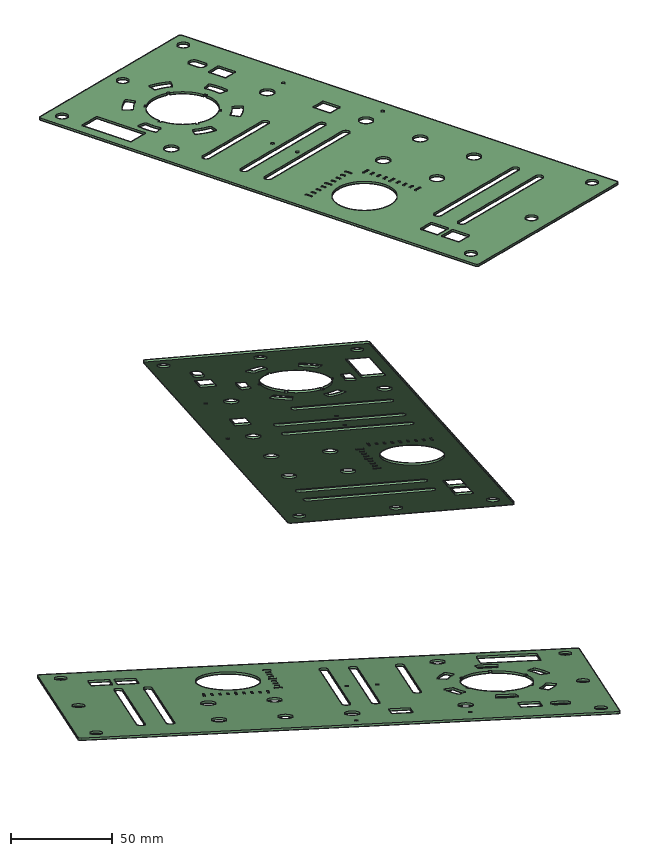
import cadquery as cq
import math

PLATE_LENGTH = 270.0
PLATE_WIDTH = 115.0
THICKNESS = 1.2
PLATE_CORNER_RADIUS = 1.5

MOUNT_DIAMETER = 6.3
MOUNT_COLUMNS = (8.27, 259.73)
MOUNT_ROW_PITCH = 49.25

SHAFT_DIAMETER = 7.5
SHAFT_GRID_COLUMNS = (163.25, 196.3)
SHAFT_GRID_ROWS = (64.5, 94.5)
INDICATOR_DIAMETER = 1.8
INDICATOR_CENTERS = ((72.7, 102.9), (130.3, 107.5), (108.8, 46.4), (124.1, 46.4))

SLOT_WIDTH = 4.3
LONG_SLOT_LENGTH = 67.1
SHORT_SLOT_LENGTH = 52.2
SLOT_PITCH = 14.7
RIGHT_SLOT_X = 220.75
RIGHT_SLOT_Y = 64.4
MIDDLE_SLOT_X = 115.25
MIDDLE_SLOT_Y = 46.5
SHORT_SLOT_X = 91.9
SHORT_SLOT_Y = 38.8

DIAL_CENTER = (50.1, 51.0)
DIAL_DIAMETER = 36.0
FULL_TURN = 360.0
SECTOR_COUNT = 6
SECTOR_INNER_RADIUS = 24.25
SECTOR_OUTER_RADIUS = 29.75
SECTOR_HALF_ANGLE = 11.5
SECTOR_CORNER_RADIUS = 0.75
NOTCH_WIDTH = 1.5
NOTCH_TIP_RADIUS = 19.0
DIAL_SHAFT_X = 72.6
DIAL_SHAFT_OFFSET = 39.0

JOYSTICK_CENTER = (179.8, 27.4)
JOYSTICK_DIAMETER = 32.0
TICK_COUNT = 9
TICK_PITCH = 4.0
TICK_WIDTH = 0.9
MAJOR_TICK_LENGTH = 3.9
MINOR_TICK_LENGTH = 2.4
MAJOR_TICK_STEP = 4
TICK_OFFSET = 22.2

WINDOW_CORNER_RADIUS = 0.5
BUTTON_WINDOW_LENGTH = 10.8
UPPER_BUTTON_WIDTH = 8.4
UPPER_BUTTON_XS = (41.3, 105.7)
UPPER_ROW_Y = 94.5
LOWER_BUTTON_WIDTH = 9.2
LOWER_BUTTON_XS = (228.9, 242.0)
LOWER_BUTTON_Y = 19.3
DISPLAY_SIZE = (30.2, 12.2)
DISPLAY_CENTER = (37.2, 12.0)
SOCKET_LENGTH = 9.8
SOCKET_WIDTH = 5.8
SOCKET_CORNER_RADIUS = 2.5
SOCKET_X = 26.2


def plate():
    """Flat plate with rounded corners."""
    blank = cq.Workplane("XY").box(PLATE_LENGTH, PLATE_WIDTH, THICKNESS, centered=False)
    return blank.edges("|Z").fillet(PLATE_CORNER_RADIUS)


def round_cutters(centers, diameter):
    return cq.Workplane("XY").pushPoints(centers).circle(diameter / 2).extrude(THICKNESS)


def window_cutters(centers, length, width, corner_radius=0.0):
    """Rectangular cutters along X and Y, with rounded corners if a radius is given."""
    cutters = cq.Workplane("XY").pushPoints(centers).rect(length, width).extrude(THICKNESS)
    if corner_radius > 0:
        cutters = cutters.edges("|Z").fillet(corner_radius)
    return cutters


def slot_cutters(centers, length):
    """Round-ended slots running along Y."""
    return cq.Workplane("XY").pushPoints(centers).slot2D(length, SLOT_WIDTH, angle=90).extrude(THICKNESS)


def dial_point(radius, angle):
    """Point at a radius and an angle in degrees around the dial centre."""
    turn = math.radians(angle)
    return (DIAL_CENTER[0] + radius * math.cos(turn), DIAL_CENTER[1] + radius * math.sin(turn))


def sector_cutter(angle):
    """Annular sector window centred on the given angle."""
    start = angle - SECTOR_HALF_ANGLE
    end = angle + SECTOR_HALF_ANGLE
    return (
        cq.Workplane("XY")
        .moveTo(*dial_point(SECTOR_INNER_RADIUS, start))
        .lineTo(*dial_point(SECTOR_OUTER_RADIUS, start))
        .threePointArc(dial_point(SECTOR_OUTER_RADIUS, angle), dial_point(SECTOR_OUTER_RADIUS, end))
        .lineTo(*dial_point(SECTOR_INNER_RADIUS, end))
        .threePointArc(dial_point(SECTOR_INNER_RADIUS, angle), dial_point(SECTOR_INNER_RADIUS, start))
        .close()
        .extrude(THICKNESS)
        .edges("|Z")
        .fillet(SECTOR_CORNER_RADIUS)
    )


def notch_cutter(angle):
    """Narrow radial bar reaching from the dial centre to just beyond the opening's edge."""
    return (
        cq.Workplane("XY")
        .rect(NOTCH_TIP_RADIUS, NOTCH_WIDTH)
        .extrude(THICKNESS)
        .translate((NOTCH_TIP_RADIUS / 2, 0, 0))
        .rotate((0, 0, 0), (0, 0, 1), angle)
        .translate((*DIAL_CENTER, 0))
    )


def cut_mounting_holes(body):
    rows = [PLATE_WIDTH / 2 + step * MOUNT_ROW_PITCH for step in (-1, 0, 1)]
    centers = [(x, y) for x in MOUNT_COLUMNS for y in rows]
    return body.cut(round_cutters(centers, MOUNT_DIAMETER))


def cut_shaft_and_indicator_holes(body):
    centers = [(x, y) for x in SHAFT_GRID_COLUMNS for y in SHAFT_GRID_ROWS]
    centers.append((MIDDLE_SLOT_X + SLOT_PITCH, UPPER_ROW_Y))
    centers += [(DIAL_SHAFT_X, DIAL_CENTER[1] + side * DIAL_SHAFT_OFFSET) for side in (-1, 1)]
    body = body.cut(round_cutters(centers, SHAFT_DIAMETER))
    return body.cut(round_cutters(INDICATOR_CENTERS, INDICATOR_DIAMETER))


def cut_slider_slots(body):
    long_slots = []
    for first_x, y in ((MIDDLE_SLOT_X, MIDDLE_SLOT_Y), (RIGHT_SLOT_X, RIGHT_SLOT_Y)):
        long_slots += [(first_x, y), (first_x + SLOT_PITCH, y)]
    body = body.cut(slot_cutters(long_slots, LONG_SLOT_LENGTH))
    return body.cut(slot_cutters([(SHORT_SLOT_X, SHORT_SLOT_Y)], SHORT_SLOT_LENGTH))


def cut_dial(body):
    body = body.cut(round_cutters([DIAL_CENTER], DIAL_DIAMETER))
    sector_pitch = FULL_TURN / SECTOR_COUNT
    for index in range(SECTOR_COUNT):
        angle = (index + 0.5) * sector_pitch
        body = body.cut(sector_cutter(angle)).cut(notch_cutter(angle))
    return body


def cut_joystick(body):
    center_x, center_y = JOYSTICK_CENTER
    body = body.cut(round_cutters([JOYSTICK_CENTER], JOYSTICK_DIAMETER))
    for index in range(TICK_COUNT):
        along = (index - (TICK_COUNT - 1) / 2) * TICK_PITCH
        length = MINOR_TICK_LENGTH if index % MAJOR_TICK_STEP else MAJOR_TICK_LENGTH
        above = (center_x + along, center_y + TICK_OFFSET)
        beside = (center_x - TICK_OFFSET, center_y + along)
        body = body.cut(window_cutters([above], TICK_WIDTH, length))
        body = body.cut(window_cutters([beside], length, TICK_WIDTH))
    return body


def cut_windows(body):
    upper_buttons = [(x, UPPER_ROW_Y) for x in UPPER_BUTTON_XS]
    lower_buttons = [(x, LOWER_BUTTON_Y) for x in LOWER_BUTTON_XS]
    socket = [(SOCKET_X, UPPER_ROW_Y)]
    body = body.cut(
        window_cutters(upper_buttons, BUTTON_WINDOW_LENGTH, UPPER_BUTTON_WIDTH, WINDOW_CORNER_RADIUS)
    )
    body = body.cut(
        window_cutters(lower_buttons, BUTTON_WINDOW_LENGTH, LOWER_BUTTON_WIDTH, WINDOW_CORNER_RADIUS)
    )
    body = body.cut(window_cutters([DISPLAY_CENTER], *DISPLAY_SIZE, WINDOW_CORNER_RADIUS))
    return body.cut(window_cutters(socket, SOCKET_LENGTH, SOCKET_WIDTH, SOCKET_CORNER_RADIUS))


result = plate()
result = cut_mounting_holes(result)
result = cut_shaft_and_indicator_holes(result)
result = cut_slider_slots(result)
result = cut_dial(result)
result = cut_joystick(result)
result = cut_windows(result)